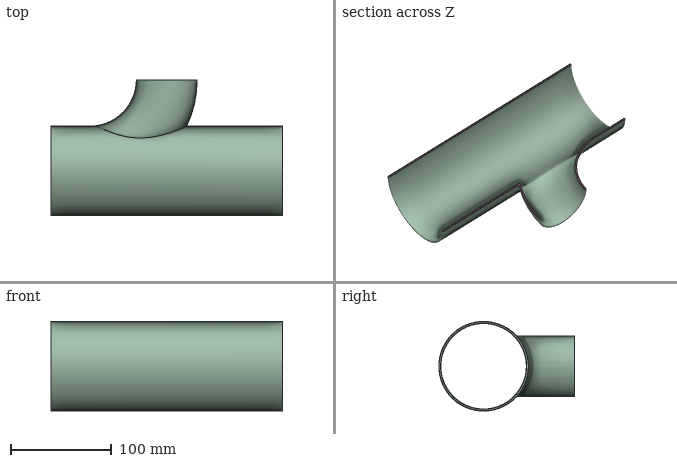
import cadquery as cq

pipe_length = 230.0
pipe_outer_diameter = 88.9
pipe_bore_diameter = 84.9
wall = (pipe_outer_diameter - pipe_bore_diameter) / 2

branch_outer_diameter = 60.3
branch_bore_diameter = branch_outer_diameter - 2 * wall
bend_radius = 76.0
bend_angle = 90.0
outlet_reach = 90.29


def main_cylinder(diameter):
    """Solid cylinder with the full length of the main pipe."""
    pipe_end = cq.Workplane("YZ", origin=(-pipe_length / 2, 0, 0))
    return pipe_end.circle(diameter / 2).extrude(pipe_length)


def elbow(diameter):
    """Solid round bend, swept from the open end of the branch back into the main pipe."""
    outlet_plane = cq.Workplane("XZ", origin=(0, outlet_reach, 0))
    axis_start = (-bend_radius, 0)
    axis_end = (-bend_radius, -1)
    return outlet_plane.circle(diameter / 2).revolve(bend_angle, axis_start, axis_end)


pipe_outside = main_cylinder(pipe_outer_diameter)
pipe_bore = main_cylinder(pipe_bore_diameter)
branch_bore = elbow(branch_bore_diameter)

result = (
    pipe_outside.union(elbow(branch_outer_diameter))
    .cut(branch_bore)
    .cut(pipe_bore)
)